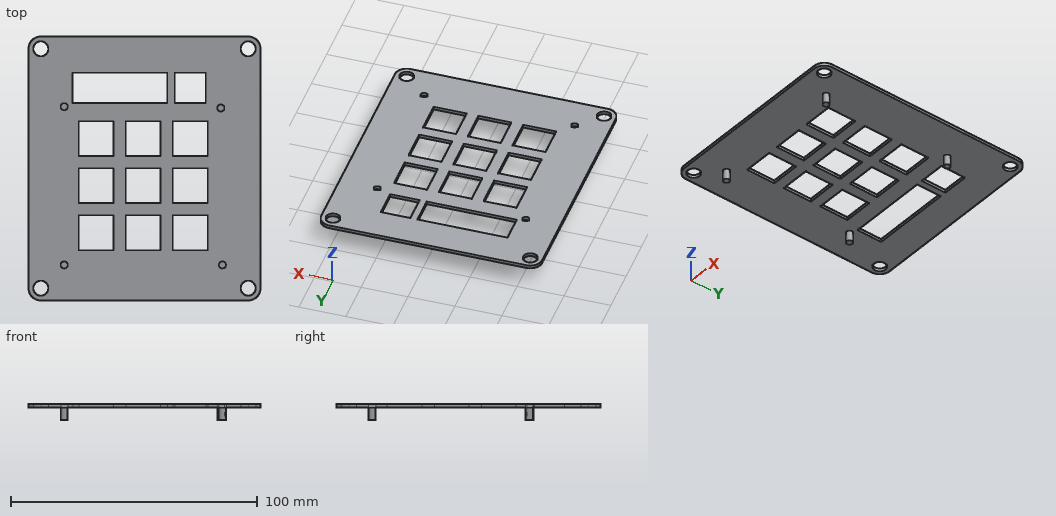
import cadquery as cq

PLATE_WIDTH = 94.1
PLATE_LENGTH = 107.1
PLATE_THICKNESS = 1.5
CORNER_RADIUS = 5.0

MOUNT_HOLE_DIAMETER = 6.0
MOUNT_HOLE_SPAN_X = PLATE_WIDTH - 2 * CORNER_RADIUS
MOUNT_HOLE_SPAN_Y = PLATE_LENGTH - 2 * CORNER_RADIUS

KEY_SIZE = 14.0
KEY_PITCH = 19.1
KEY_COLUMNS = 3
KEY_ROWS = 3
KEY_GRID_CENTER = (-0.5, -7.0)

WINDOW_HEIGHT = 12.2
WINDOW_ROW_Y = 32.7
DISPLAY_WIDTH = 38.3
DISPLAY_X = -10.0
SIDE_WINDOW_WIDTH = 12.5
SIDE_WINDOW_X = 18.5

TOTAL_HEIGHT = 6.5
PIN_DIAMETER = 2.9
PIN_LENGTH = TOTAL_HEIGHT - PLATE_THICKNESS
PIN_CENTERS = [
    (-32.6, 25.1),
    (31.0, 24.5),
    (-32.6, -39.1),
    (31.6, -39.1),
]


def make_blank():
    """Flat plate with rounded corners."""
    blank = cq.Workplane("XY").rect(PLATE_WIDTH, PLATE_LENGTH).extrude(-PLATE_THICKNESS)
    return blank.edges("|Z").fillet(CORNER_RADIUS)


def cut_mounting_holes(plate):
    """Through hole at each corner."""
    centers = cq.Workplane("XY").rect(MOUNT_HOLE_SPAN_X, MOUNT_HOLE_SPAN_Y, forConstruction=True).vertices()
    return plate.cut(centers.circle(MOUNT_HOLE_DIAMETER / 2).extrude(-PLATE_THICKNESS))


def cut_key_windows(plate):
    """Grid of square through windows."""
    grid = cq.Workplane("XY").center(*KEY_GRID_CENTER).rarray(KEY_PITCH, KEY_PITCH, KEY_COLUMNS, KEY_ROWS)
    return plate.cut(grid.rect(KEY_SIZE, KEY_SIZE).extrude(-PLATE_THICKNESS))


def cut_top_windows(plate):
    """Display window and side window through the plate above the keys."""
    for center_x, width in ((DISPLAY_X, DISPLAY_WIDTH), (SIDE_WINDOW_X, SIDE_WINDOW_WIDTH)):
        window = cq.Workplane("XY").center(center_x, WINDOW_ROW_Y).rect(width, WINDOW_HEIGHT)
        plate = plate.cut(window.extrude(-PLATE_THICKNESS))
    return plate


def cut_pin_holes(plate):
    """Open through hole above each pin."""
    holes = cq.Workplane("XY").pushPoints(PIN_CENTERS).circle(PIN_DIAMETER / 2)
    return plate.cut(holes.extrude(-PLATE_THICKNESS))


def make_plate():
    plate = make_blank()
    plate = cut_mounting_holes(plate)
    plate = cut_key_windows(plate)
    plate = cut_top_windows(plate)
    return cut_pin_holes(plate)


def make_pin(center):
    """Plain cylinder hanging down from the plate's underside."""
    underside = cq.Workplane("XY", origin=(0, 0, -PLATE_THICKNESS))
    return underside.center(*center).circle(PIN_DIAMETER / 2).extrude(-PIN_LENGTH)


plate = make_plate()
pins = [make_pin(center) for center in PIN_CENTERS]

result = cq.Compound.makeCompound([plate.val(), *[pin.val() for pin in pins]])